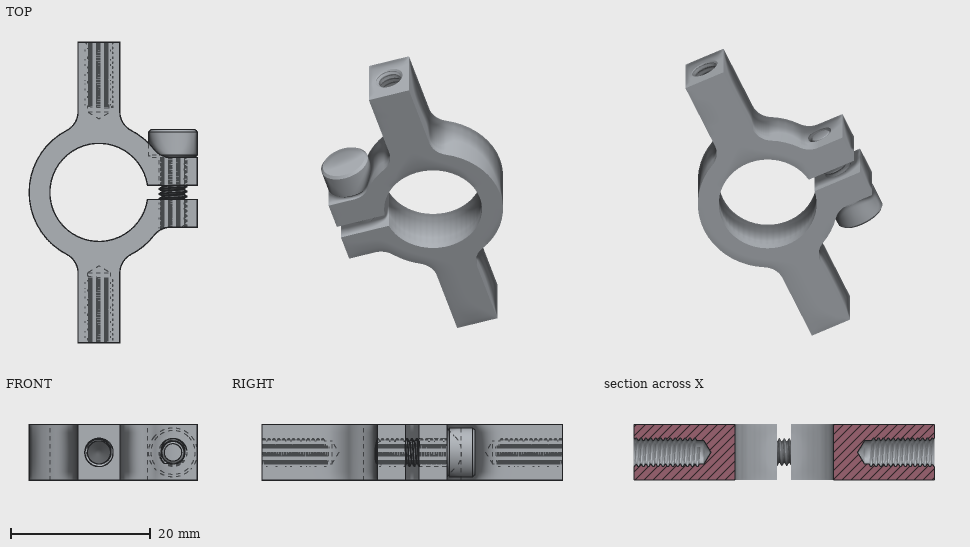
import cadquery as cq
import math

height = 8.0
ring_outer_radius = 10.0
ring_bore_radius = 7.0
arm_width = 6.0
arm_tip_distance = 21.5
blend_radius = 3.0

jaw_end_x = 14.09
jaw_gap = 2.0
jaw_thickness = 4.0
jaw_span = jaw_gap + 2 * jaw_thickness

thread_diameter = 4.0
pitch = 0.7
tap_drill_diameter = 3.3
screw_root_diameter = thread_diameter - 1.2268 * pitch
crest_width = pitch / 8
flank_clearance = 0.03
flank_half_angle = math.radians(30)
ridge_sink = 0.04

head_diameter = 7.0
head_height = 4.0
head_chamfer = 0.35
tip_diameter = 2.5
screw_length = jaw_span
screw_x = jaw_end_x - head_diameter / 2
screw_thread_start_angle = 240.0

arm_hole_depth = 10.0
arm_mouth_diameter = 4.08
drill_point_half_angle = math.radians(59)
arm_thread_start_angle = 105.0


def thread_ridge(length, start_angle, flank_offset=0.0):
    """Right-hand ridge around +Z, running one pitch past both ends of the length."""
    base_radius = screw_root_diameter / 2 - ridge_sink
    crest_radius = thread_diameter / 2
    half_crest = crest_width / 2 + flank_offset
    half_base = half_crest + (crest_radius - base_radius) * math.tan(flank_half_angle)
    profile = cq.Workplane("XZ").polyline([
        (base_radius, -half_base),
        (crest_radius, -half_crest),
        (crest_radius, half_crest),
        (base_radius, half_base),
    ]).close()
    helix = cq.Wire.makeHelix(pitch, length + 2 * pitch, base_radius)
    ridge = profile.sweep(cq.Workplane(obj=helix), isFrenet=True)
    return ridge.rotate((0, 0, 0), (0, 0, 1), start_angle).translate((0, 0, -pitch))


def point_along_y(shape, position):
    """Turn a shape built along +Z so that it points along +Y, then place it."""
    return shape.rotate((0, 0, 0), (1, 0, 0), -90).translate(position)


def block(x_start, x_end, y_start, y_end):
    """Full-height rectangular block."""
    size_x = x_end - x_start
    size_y = y_end - y_start
    return cq.Workplane("XY").box(size_x, size_y, height, centered=False).translate((x_start, y_start, 0))


screw_tip = (screw_x, -jaw_span / 2, height / 2)
arm_end = (0, -arm_tip_distance, height / 2)


def make_clamp_blank():
    """Ring with both arms and the jaw block, blended at the six inner corners."""
    blank = cq.Workplane("XY").circle(ring_outer_radius).extrude(height)
    blank = blank.union(block(-arm_width / 2, arm_width / 2, -arm_tip_distance, arm_tip_distance))
    blank = blank.union(block(0, jaw_end_x, -jaw_span / 2, jaw_span / 2))

    arm_corner_x = arm_width / 2
    arm_corner_y = math.sqrt(ring_outer_radius**2 - arm_corner_x**2)
    jaw_corner_y = jaw_span / 2
    jaw_corner_x = math.sqrt(ring_outer_radius**2 - jaw_corner_y**2)
    for side in (-1, 1):
        for x, y in ((-arm_corner_x, arm_corner_y), (arm_corner_x, arm_corner_y), (jaw_corner_x, jaw_corner_y)):
            corner = cq.selectors.NearestToPointSelector((x, side * y, height / 2))
            blank = blank.edges("|Z").edges(corner).fillet(blend_radius)

    bore = cq.Workplane("XY").circle(ring_bore_radius).extrude(height)
    return blank.cut(bore).cut(block(0, jaw_end_x, -jaw_gap / 2, jaw_gap / 2))


def cut_screw_seat(clamp):
    """Tapped lower jaw, plain hole in the upper jaw and a seat for the screw head."""
    drill = (
        cq.Workplane("XY").workplane(offset=-blend_radius)
        .circle(tap_drill_diameter / 2).extrude(blend_radius + screw_length)
    )
    thread = thread_ridge(jaw_thickness, screw_thread_start_angle, flank_clearance)
    clearance = (
        cq.Workplane("XY").workplane(offset=jaw_span - jaw_thickness)
        .circle(thread_diameter / 2).extrude(jaw_thickness)
    )
    head_seat = cq.Workplane("XY").workplane(offset=screw_length).circle(head_diameter / 2).extrude(head_height)
    for cutter in (thread, drill, clearance, head_seat):
        clamp = clamp.cut(point_along_y(cutter, screw_tip))
    return clamp


def cut_arm_holes(clamp):
    """Blind tapped hole with a drill point in the end of each arm."""
    radius = tap_drill_diameter / 2
    mouth_radius = arm_mouth_diameter / 2
    point_depth = radius / math.tan(drill_point_half_angle)
    drill = (
        cq.Workplane("XZ")
        .polyline([
            (0, 0),
            (mouth_radius, 0),
            (radius, mouth_radius - radius),
            (radius, arm_hole_depth),
            (0, arm_hole_depth + point_depth),
        ])
        .close().revolve(360, (0, 0, 0), (0, 1, 0))
    )
    thread = thread_ridge(arm_hole_depth - 2 * pitch, arm_thread_start_angle, flank_clearance)
    for turn in (0, 180):
        for cutter in (thread, drill):
            clamp = clamp.cut(point_along_y(cutter, arm_end).rotate((0, 0, 0), (0, 0, 1), turn))
    return clamp


def make_screw():
    """Cap screw with a threaded shank, a bevelled tip and a chamfered head."""
    tip_radius = tip_diameter / 2
    root_radius = screw_root_diameter / 2
    limit_radius = thread_diameter
    core = (
        cq.Workplane("XY").circle(root_radius).extrude(screw_length)
        .faces("<Z").chamfer(root_radius - tip_radius)
    )
    shank_limit = (
        cq.Workplane("XZ")
        .polyline([
            (0, 0),
            (tip_radius, 0),
            (limit_radius, limit_radius - tip_radius),
            (limit_radius, screw_length),
            (0, screw_length),
        ])
        .close().revolve(360, (0, 0, 0), (0, 1, 0))
    )
    ridge = thread_ridge(screw_length, screw_thread_start_angle).intersect(shank_limit)
    shank = core.union(ridge)
    head = (
        cq.Workplane("XY").workplane(offset=screw_length)
        .circle(head_diameter / 2).extrude(head_height)
        .edges().chamfer(head_chamfer)
    )
    return point_along_y(shank.union(head), screw_tip)


clamp = cut_arm_holes(cut_screw_seat(make_clamp_blank()))
screw = make_screw()

result = cq.Compound.makeCompound([clamp.solids().val(), screw.solids().val()])